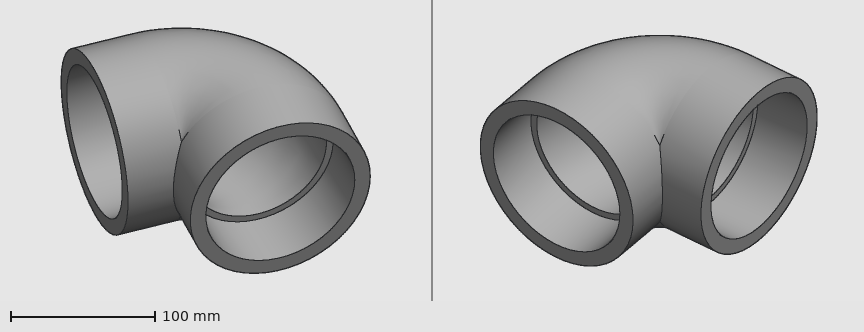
import cadquery as cq

outer_diameter = 133.0
socket_diameter = 110.0
bore_diameter = 100.0
centre_to_face = 100.0
socket_depth = 43.0
bend_angle = 90.0

bend_radius = centre_to_face - socket_depth


def socket_cylinders(diameter):
    """Cylinders filling both socket lengths, one facing -Y and one facing +X."""
    radius = diameter / 2
    facing_y = cq.Workplane("XZ", origin=(0, -bend_radius, 0)).circle(radius).extrude(socket_depth)
    facing_x = cq.Workplane("YZ", origin=(bend_radius, 0, 0)).circle(radius).extrude(socket_depth)
    return facing_y.union(facing_x)


def bend(diameter):
    """Quarter turn of a round section about the bend axis at (bend_radius, -bend_radius).

    The part of the section reaching past the bend axis is trimmed off, so the
    turn never overlaps itself.
    """
    radius = diameter / 2
    section = cq.Sketch().circle(radius)
    overshoot = radius - bend_radius
    if overshoot > 0:
        trim_centre = (bend_radius + overshoot, 0)
        section = section.push([trim_centre]).rect(2 * overshoot, diameter, mode="s")
    return (
        cq.Workplane("XZ", origin=(0, -bend_radius, 0))
        .placeSketch(section)
        .revolve(bend_angle, (bend_radius, 0, 0), (bend_radius, -1, 0))
    )


body = bend(outer_diameter).union(socket_cylinders(outer_diameter))
passage = bend(bore_diameter).union(socket_cylinders(socket_diameter))

result = body.cut(passage)